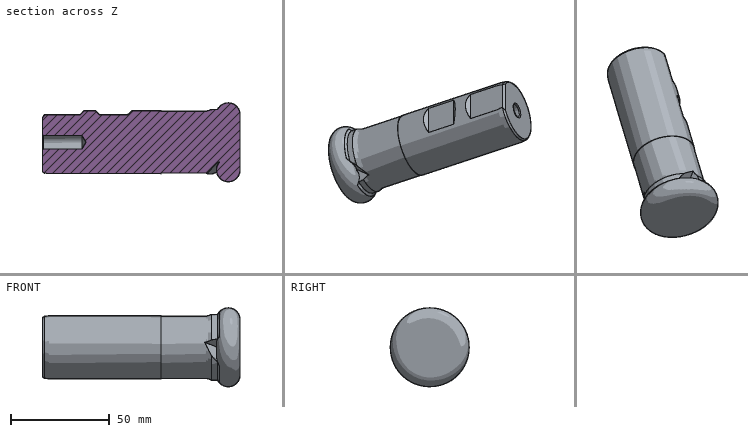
import cadquery as cq
import math

TOTAL_LENGTH = 100.0
SHANK_LENGTH = 60.0
SHANK_RADIUS = 16.0
NECK_RADIUS = 15.8

END_FACE_RADIUS = 15.0
CHAMFER_LENGTH = 1.0
CHAMFER_RADIUS = 15.7
TAPER_END = 3.4

NECK_END = 82.9
FLARE_START = 83.8
FLARE_START_RADIUS = 16.0
COLLAR_START = 85.6
COLLAR_RADIUS = 16.7

CONE_START = 88.55
CONE_END = 89.45
CONE_END_RADIUS = 18.0

HEAD_RADIUS = 20.0
RING_TUBE_RADIUS = 6.0
RING_CENTRE_RADIUS = HEAD_RADIUS - RING_TUBE_RADIUS
RING_X = TOTAL_LENGTH - RING_TUBE_RADIUS

FLAT_Y = 14.0
FLAT_DEPTH = SHANK_RADIUS - FLAT_Y
END_FLAT_LENGTH = 19.1
MIDDLE_FLAT_START = 28.9
MIDDLE_FLAT_END = 43.2
FLAT_CHAMFER_LENGTH = 1.0
FLAT_CHAMFER_DEPTH = 1.7

HOLE_RADIUS = 3.35
HOLE_MOUTH_RADIUS = 3.9
HOLE_DEPTH = 20.0
DRILL_POINT_ANGLE = 118.0

NOTCH_COUNT = 3
NOTCH_ANGLE = 50.75
NOTCH_START = 82.1
NOTCH_SECTION_X = 88.3
NOTCH_END = 90.0
NOTCH_ROOT = (10.4, 1.65)
NOTCH_STEEP_EDGE = (16.7, -1.58)
NOTCH_SHALLOW_EDGE = (13.75, 9.55)
NOTCH_OVERREACH = 2.0


def make_body():
    """Shank, neck, collar and head core turned around X, up to the head's end face."""
    outline = [
        (0, 0),
        (0, END_FACE_RADIUS),
        (CHAMFER_LENGTH, CHAMFER_RADIUS),
        (TAPER_END, SHANK_RADIUS),
        (SHANK_LENGTH, SHANK_RADIUS),
        (SHANK_LENGTH, NECK_RADIUS),
        (NECK_END, NECK_RADIUS),
        (FLARE_START, FLARE_START_RADIUS),
        (COLLAR_START, COLLAR_RADIUS),
        (CONE_START, COLLAR_RADIUS),
        (CONE_END, CONE_END_RADIUS),
        (RING_X, CONE_END_RADIUS),
        (RING_X, RING_CENTRE_RADIUS),
        (TOTAL_LENGTH, RING_CENTRE_RADIUS),
        (TOTAL_LENGTH, 0),
    ]
    return cq.Workplane("XY").polyline(outline).close().revolve(360, (0, 0, 0), (1, 0, 0))


def make_ring():
    """Torus of the head."""
    return (
        cq.Workplane("XY")
        .center(RING_X, RING_CENTRE_RADIUS)
        .circle(RING_TUBE_RADIUS)
        .revolve(360, (0, -RING_CENTRE_RADIUS, 0), (1, -RING_CENTRE_RADIUS, 0))
    )


def extrude_across_shank(points):
    """Prism through the whole shank width from an XY outline."""
    return cq.Workplane("XY").polyline(points).close().extrude(SHANK_RADIUS, both=True)


def make_flats():
    """Both clamping flats and the chamfer where the first meets the end face."""
    end_flat = extrude_across_shank([
        (0, SHANK_RADIUS),
        (0, FLAT_Y - FLAT_CHAMFER_DEPTH),
        (FLAT_CHAMFER_LENGTH, FLAT_Y),
        (END_FLAT_LENGTH, FLAT_Y),
        (END_FLAT_LENGTH + FLAT_DEPTH, SHANK_RADIUS),
    ])
    middle_flat = extrude_across_shank([
        (MIDDLE_FLAT_START - FLAT_DEPTH, SHANK_RADIUS),
        (MIDDLE_FLAT_START, FLAT_Y),
        (MIDDLE_FLAT_END, FLAT_Y),
        (MIDDLE_FLAT_END + FLAT_DEPTH, SHANK_RADIUS),
    ])
    return end_flat.union(middle_flat)


def make_hole():
    """Blind hole with a 45 degree mouth and a drill-point bottom."""
    mouth_depth = HOLE_MOUTH_RADIUS - HOLE_RADIUS
    point_depth = HOLE_RADIUS / math.tan(math.radians(DRILL_POINT_ANGLE / 2))
    outline = [
        (0, 0),
        (0, HOLE_MOUTH_RADIUS),
        (mouth_depth, HOLE_RADIUS),
        (HOLE_DEPTH, HOLE_RADIUS),
        (HOLE_DEPTH + point_depth, 0),
    ]
    return cq.Workplane("XY").polyline(outline).close().revolve(360, (0, 0, 0), (1, 0, 0))


def make_notch(angle):
    """Pyramid whose point lies on the neck and whose base faces the ring."""
    growth = (NOTCH_END - NOTCH_START) / (NOTCH_SECTION_X - NOTCH_START)
    point = cq.Vector(NOTCH_START, NECK_RADIUS, 0)

    def base_corner(edge, reach):
        root = cq.Vector(NOTCH_SECTION_X, *NOTCH_ROOT)
        corner = root + (cq.Vector(NOTCH_SECTION_X, *edge) - root) * reach
        return point + (corner - point) * growth

    root = base_corner(NOTCH_ROOT, 1)
    steep = base_corner(NOTCH_STEEP_EDGE, NOTCH_OVERREACH)
    shallow = base_corner(NOTCH_SHALLOW_EDGE, NOTCH_OVERREACH)
    triangles = [
        (root, steep, shallow),
        (point, root, steep),
        (point, steep, shallow),
        (point, shallow, root),
    ]
    faces = [cq.Face.makeFromWires(cq.Wire.makePolygon(t, close=True)) for t in triangles]
    pyramid = cq.Solid.makeSolid(cq.Shell.makeShell(faces))
    return cq.Workplane(obj=pyramid).rotate((0, 0, 0), (1, 0, 0), angle)


body = make_body().cut(make_flats()).cut(make_hole())
for index in range(NOTCH_COUNT):
    body = body.cut(make_notch(NOTCH_ANGLE + index * 360 / NOTCH_COUNT))

result = body.union(make_ring())